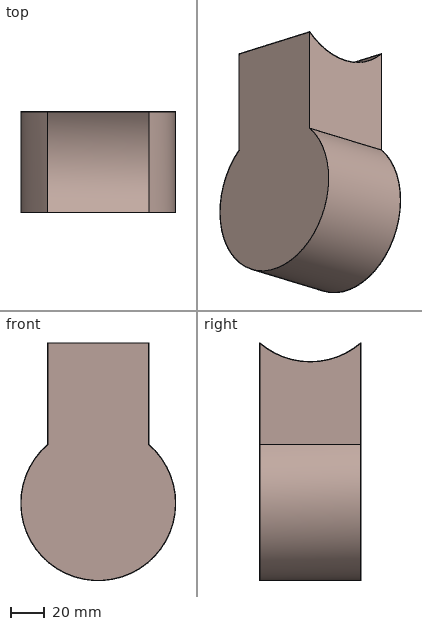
import cadquery as cq

overall_height = 141.1
disc_diameter = 92.0
body_width = 60.0

disc_radius = disc_diameter / 2
saddle_radius = disc_radius
neck_top = overall_height - disc_radius
half_width = body_width / 2
saddle_axis_height = neck_top + (saddle_radius**2 - half_width**2) ** 0.5


disc = cq.Workplane("XZ").circle(disc_radius).extrude(half_width, both=True)

neck = cq.Workplane("XY").rect(body_width, body_width).extrude(neck_top)

saddle = (
    cq.Workplane("YZ")
    .center(0, saddle_axis_height)
    .circle(saddle_radius)
    .extrude(body_width, both=True)
)

result = disc.union(neck).cut(saddle)